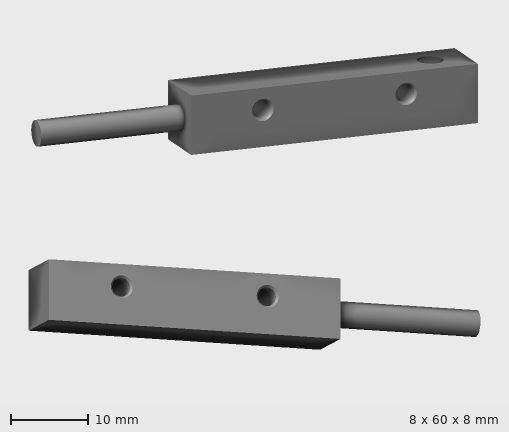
import cadquery as cq

body_side = 8.0
total_length = 60.0
body_length = total_length * 2 / 3
cable_length = total_length - body_length
cable_diameter = 3.5

face_diameter = 3.5
face_depth = 0.2
face_from_end = body_length / 8

hole_diameter = 2.45
mouth_diameter = 3.0
mouth_depth = 0.3
hole_below_top = 3.0
hole_from_end = body_length / 4
hole_spacing = body_length / 2

body_end_y = total_length / 2
body_front_y = body_end_y - body_length
half_side = body_side / 2


def make_body():
    return cq.Workplane("XY").box(body_side, body_length, body_side).translate(
        (0, body_end_y - body_length / 2, 0)
    )


def make_cable():
    return cq.Workplane("XZ", origin=(0, body_front_y, 0)).circle(cable_diameter / 2).extrude(cable_length)


def make_face_recess():
    face_plane = cq.Workplane("XY", origin=(0, body_end_y - face_from_end, half_side))
    return face_plane.circle(face_diameter / 2).extrude(-face_depth)


def make_mounting_hole(y):
    """Revolved cutter along X: a through bore with a conical chamfer at each mouth."""
    bore_radius = hole_diameter / 2
    mouth_radius = mouth_diameter / 2
    profile = [
        (-half_side, 0),
        (-half_side, mouth_radius),
        (-half_side + mouth_depth, bore_radius),
        (half_side - mouth_depth, bore_radius),
        (half_side, mouth_radius),
        (half_side, 0),
    ]
    hole_plane = cq.Workplane("XY", origin=(0, y, half_side - hole_below_top))
    return hole_plane.polyline(profile).close().revolve(360, (0, 0, 0), (1, 0, 0))


result = make_body().union(make_cable()).cut(make_face_recess())
for index in range(2):
    hole_y = body_end_y - hole_from_end - index * hole_spacing
    result = result.cut(make_mounting_hole(hole_y))